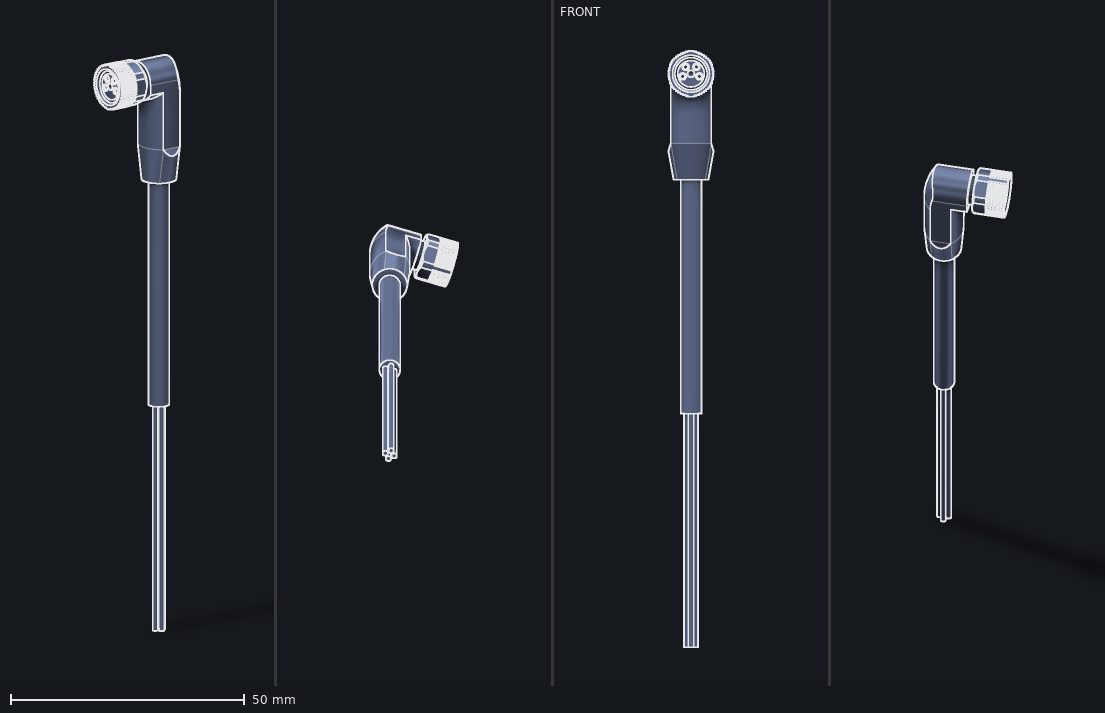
import math

import cadquery as cq


overall_height = 127.61
overall_depth = 18.1

nut_radius = 4.92
hex_half_width = 4.58
hex_sides = 6
knurl_length = 4.0
hex_length = 2.95
rear_chamfer = 0.35
grooves_per_half = 24
plain_strip_angle = 12.0
groove_depth = 0.25
bore_radius = 6.92 / 2
bore_depth = 5.5
bore_chamfer = 0.5

insert_radius = 5.67 / 2
insert_recess = 0.6
contact_circle_radius = 1.87
contact_hole_diameter = 1.0
contact_angles = (52, 128, 197.5, 342.5)
contact_recess_diameter = 1.5
contact_recess_depth = 0.3
dimple_radius = 0.75
dimple_depth = 1.0
contact_hole_depth = 3.0

body_half_width = 4.35
flat_half_width = 2.25
body_half_depth = 4.25
arm_end_y = -5.7
neck_radius = 6.4 / 2
back_curve_radius = 17.0
back_curve_start_z = -3.5

taper_length = 7.8
taper_end_radius = 3.75
relief_half_width = 5.15
ledge_slope = 0.3

cable_radius = 4.5 / 2
cable_length = 50.0
wire_radius = 1.15 / 2
wire_length = 50.0
wire_offset_x = 0.96
wire_offset_y = 1.0
wire_count = 4

nut_front_y = body_half_depth - overall_depth
hex_front_y = nut_front_y + knurl_length
nut_rear_y = hex_front_y + hex_length
wire_end_z = nut_radius - overall_height
cable_end_z = wire_end_z + wire_length
taper_end_z = cable_end_z + cable_length
taper_start_z = taper_end_z + taper_length

knurl_pitch = (180 - plain_strip_angle) / grooves_per_half


def cylinder_y(radius, start_y, end_y):
    """Cylinder on the Y axis between two Y positions."""
    plane = cq.Workplane("XZ", origin=(0, start_y, 0))
    return plane.circle(radius).extrude(start_y - end_y)


def cylinder_z(radius, start_z, end_z, x=0, y=0):
    """Cylinder parallel to Z between two Z positions."""
    return cq.Workplane("XY", origin=(x, y, start_z)).circle(radius).extrude(end_z - start_z)


def column_section(z):
    """Cross-section of the upright: flat sides with bowed front and back."""
    return (
        cq.Workplane("XY", origin=(0, 0, z))
        .moveTo(-body_half_width, -flat_half_width)
        .threePointArc((0, -body_half_depth), (body_half_width, -flat_half_width))
        .lineTo(body_half_width, flat_half_width)
        .threePointArc((0, body_half_depth), (-body_half_width, flat_half_width))
        .close()
    )


def back_envelope():
    """Barrel that rounds the back of the elbow, turned about an axis parallel to X."""
    axis_y = body_half_depth - back_curve_radius
    return (
        cq.Workplane("XY", origin=(0, axis_y, back_curve_start_z))
        .moveTo(-body_half_width, 0)
        .lineTo(body_half_width, 0)
        .lineTo(body_half_width, flat_half_width - axis_y)
        .threePointArc((0, back_curve_radius), (-body_half_width, flat_half_width - axis_y))
        .close()
        .revolve(360, (0, 0, 0), (1, 0, 0))
    )


def make_elbow():
    """Upright and horizontal arm, with a half-round top and a curved back."""
    arm = (
        cq.Workplane("XZ", origin=(0, body_half_depth, 0))
        .moveTo(body_half_width, 0)
        .threePointArc((0, body_half_width), (-body_half_width, 0))
        .lineTo(-body_half_width, -flat_half_width)
        .threePointArc((0, -body_half_depth), (body_half_width, -flat_half_width))
        .close()
        .extrude(body_half_depth - arm_end_y)
    )
    upper_column = column_section(back_curve_start_z).extrude(-back_curve_start_z)
    lower_column = column_section(taper_start_z).extrude(back_curve_start_z - taper_start_z)
    return arm.union(upper_column).intersect(back_envelope()).union(lower_column)


def make_strain_relief():
    """Taper from a wide section with round sides to a circle, with a sloping ledge each side."""
    end_corner_x = math.sqrt(taper_end_radius**2 - flat_half_width**2)

    def section(workplane, half_x, half_y, corner_x):
        x = corner_x
        y = flat_half_width
        return (
            workplane.moveTo(-x, -y)
            .threePointArc((0, -half_y), (x, -y))
            .threePointArc((half_x, 0), (x, y))
            .threePointArc((0, half_y), (-x, y))
            .threePointArc((-half_x, 0), (-x, -y))
            .close()
        )

    start = section(
        cq.Workplane("XY", origin=(0, 0, taper_start_z)),
        relief_half_width, body_half_depth, body_half_width,
    )
    relief = section(
        start.workplane(offset=-taper_length),
        taper_end_radius, taper_end_radius, end_corner_x,
    ).loft(ruled=True)
    ledge_width = relief_half_width - body_half_width
    ledge_cut = (
        cq.Workplane("XZ", origin=(0, body_half_depth, 0))
        .moveTo(body_half_width, taper_start_z)
        .lineTo(relief_half_width, taper_start_z - ledge_width / ledge_slope)
        .lineTo(relief_half_width, taper_start_z)
        .close()
        .extrude(2 * body_half_depth)
    )
    return relief.cut(ledge_cut).cut(ledge_cut.mirror("YZ"))


def knurl_groove(angle):
    """V-groove along the nut at an angle, in degrees, round the Y axis."""
    half_angle = knurl_pitch / 2
    rim_x = nut_radius * math.sin(math.radians(half_angle))
    rim_z = nut_radius * math.cos(math.radians(half_angle))
    outside_z = nut_radius + groove_depth
    return (
        cq.Workplane("XZ", origin=(0, hex_front_y, 0))
        .moveTo(0, nut_radius - groove_depth)
        .lineTo(rim_x, rim_z)
        .lineTo(rim_x, outside_z)
        .lineTo(-rim_x, outside_z)
        .lineTo(-rim_x, rim_z)
        .close()
        .extrude(knurl_length)
        .rotate((0, 0, 0), (0, 1, 0), angle)
    )


def make_nut():
    """Knurled ring in front of a hexagon with rounded corners, bored from the front."""
    knurled_ring = cylinder_y(nut_radius, hex_front_y, nut_front_y)
    for half_start in (0, 180):
        for groove in range(grooves_per_half):
            angle = half_start + plain_strip_angle / 2 + (groove + 0.5) * knurl_pitch
            knurled_ring = knurled_ring.cut(knurl_groove(angle))

    hex_diameter = 2 * hex_half_width / math.cos(math.pi / hex_sides)
    hexagon = (
        cq.Workplane("XZ", origin=(0, nut_rear_y, 0))
        .transformed(rotate=(0, 0, 180 / hex_sides))
        .polygon(hex_sides, hex_diameter)
        .extrude(hex_length)
    )
    rounding = cylinder_y(nut_radius, nut_rear_y, hex_front_y).faces(">Y").chamfer(rear_chamfer)
    nut = knurled_ring.union(hexagon.intersect(rounding))

    bore = cylinder_y(bore_radius, nut_front_y + bore_depth, nut_front_y)
    nut = nut.cut(bore)
    countersink = (
        cq.Workplane("XZ", origin=(0, nut_front_y + bore_chamfer, 0))
        .circle(bore_radius)
        .workplane(offset=bore_chamfer)
        .circle(bore_radius + bore_chamfer)
        .loft()
    )
    return nut.cut(countersink)


def make_insert():
    """Socket insert with contact holes and a conical dimple in the middle."""
    face_y = nut_front_y + insert_recess
    insert = cylinder_y(insert_radius, nut_rear_y, face_y)
    for angle in contact_angles:
        x = contact_circle_radius * math.cos(math.radians(angle))
        z = contact_circle_radius * math.sin(math.radians(angle))
        hole = cylinder_y(contact_hole_diameter / 2, face_y + contact_hole_depth, face_y)
        recess = cylinder_y(contact_recess_diameter / 2, face_y + contact_recess_depth, face_y)
        insert = insert.cut(hole.union(recess).translate((x, 0, z)))
    dimple = cq.Solid.makeCone(
        dimple_radius, 0, dimple_depth, pnt=cq.Vector(0, face_y, 0), dir=cq.Vector(0, 1, 0)
    )
    return insert.cut(cq.Workplane(obj=dimple))


def make_lead():
    """Cable jacket with bare wires spaced round its axis."""
    lead = cylinder_z(cable_radius, cable_end_z, taper_end_z)
    for wire in range(wire_count):
        angle = 2 * math.pi * wire / wire_count
        x = wire_offset_x * math.cos(angle)
        y = wire_offset_y * math.sin(angle)
        lead = lead.union(cylinder_z(wire_radius, wire_end_z, cable_end_z, x, y))
    return lead


neck = cylinder_y(neck_radius, arm_end_y, nut_rear_y)

result = (
    make_elbow()
    .union(make_strain_relief())
    .union(neck)
    .union(make_nut())
    .union(make_insert())
    .union(make_lead())
)